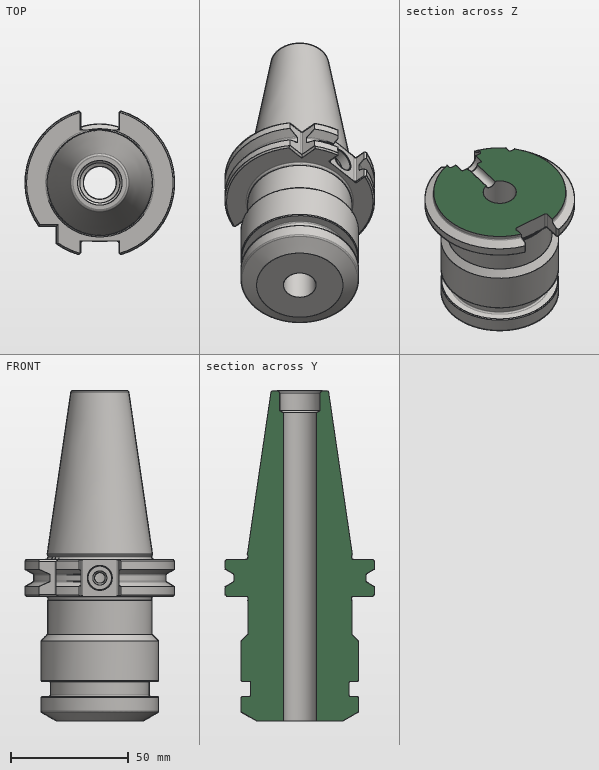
import cadquery as cq
import math


GAUGE_DIA = 44.45
TAPER_RATIO = 7 / 24
TAPER_LENGTH = 68.4
TAPER_TIP_FILLET = 1.0
TAPER_END_Z = -1.0
RELIEF_TOP = -1.9
RELIEF_DIA = 44.15
UPPER_RELIEF_FILLET = 0.9
LOWER_RELIEF_FILLET = 0.7

FLANGE_DIA = 63.55
FLANGE_TOP = -3.2
FLANGE_BOTTOM = -19.0
FLANGE_CHAMFER = 0.7
GROOVE_Z = -11.1
GROOVE_FLOOR_DIA = 56.25
GROOVE_FLOOR_WIDTH = 3.1
GROOVE_FLANK_ANGLE = 30
GROOVE_FILLET = 0.5

OVERALL_LENGTH = 140.25
NECK_DIA = GAUGE_DIA
NECK_TOP = -20.6
SHOULDER_TOP = -35.0
BODY_DIA = 50.0
BODY_BOTTOM = -55.1
BODY_CHAMFER = 0.4
WAIST_DIA = 42.0
WAIST_UPPER_FILLET = 0.4
WAIST_LOWER_FILLET = 0.7
NUT_TOP = -61.4
NUT_CONE_ANGLE = 30
NUT_CONE_TOP = -68.0
NUT_FILLET = 0.8

CUTTER_OVERHANG = 1.0
SLOT_WIDTH = 16.1
SLOT_CORNER_RADIUS = 0.8
SLOT_RIM_CHAMFER = 0.85
SLOT_FACE_CHAMFER = 0.4
FRONT_SLOT_FLOOR_Y = -24.75
BACK_SLOT_FLOOR_Y = 22.5
NOTCH_WALL_X = -18.5
NOTCH_WALL_Y = -18.5
NOTCH_SIZE = 30.0
NOTCH_CHAMFER = 0.85
NOTCH_CORNER_RADIUS = 0.5

BORE_DIA = 13.84
THREAD_RELIEF_DIA = 17.0
THREAD_RELIEF_DEPTH = 8.5
THREAD_SEAT_ANGLE = 30
BORE_ENTRY_CHAMFER = 0.95

PORT_DIA = 10.0
PORT_CHAMFER = 0.3
PORT_DEPTH = 4.5
PORT_SEAT_DIA = 6.0
PORT_HOLE_DIA = 4.5

flange_radius = FLANGE_DIA / 2
nut_face_z = TAPER_LENGTH - OVERALL_LENGTH


def fillet_circle(solid, radius, height, fillet_radius):
    """Round the circular edge that has the given radius and height."""
    tolerance = 1e-4
    edges = [
        edge
        for edge in solid.edges("%CIRCLE").vals()
        if abs(edge.radius() - radius) < tolerance and abs(edge.Center().z - height) < tolerance
    ]
    return solid.newObject(edges).fillet(fillet_radius)


def turned_body():
    """Revolve the complete outer profile from the taper tip down to the nut face."""
    gauge_radius = GAUGE_DIA / 2
    tip_radius = gauge_radius - TAPER_LENGTH * TAPER_RATIO / 2
    neck_radius = NECK_DIA / 2
    relief_radius = RELIEF_DIA / 2
    taper_end_radius = gauge_radius - TAPER_END_Z * TAPER_RATIO / 2
    relief_step = neck_radius - relief_radius
    groove_radius = GROOVE_FLOOR_DIA / 2
    half_floor = GROOVE_FLOOR_WIDTH / 2
    half_mouth = half_floor + (flange_radius - groove_radius) * math.tan(math.radians(GROOVE_FLANK_ANGLE))
    body_radius = BODY_DIA / 2
    waist_radius = WAIST_DIA / 2
    shoulder_bottom = SHOULDER_TOP - (body_radius - neck_radius)
    nut_cone_drop = NUT_CONE_TOP - nut_face_z
    nut_face_radius = body_radius - nut_cone_drop / math.tan(math.radians(NUT_CONE_ANGLE))

    profile = (
        cq.Workplane("XZ")
        .moveTo(0, TAPER_LENGTH)
        .lineTo(tip_radius, TAPER_LENGTH)
        .lineTo(taper_end_radius, TAPER_END_Z)
        .lineTo(relief_radius, RELIEF_TOP)
        .lineTo(relief_radius, FLANGE_TOP)
        .lineTo(flange_radius - FLANGE_CHAMFER, FLANGE_TOP)
        .lineTo(flange_radius, FLANGE_TOP - FLANGE_CHAMFER)
        .lineTo(flange_radius, GROOVE_Z + half_mouth)
        .lineTo(groove_radius, GROOVE_Z + half_floor)
        .lineTo(groove_radius, GROOVE_Z - half_floor)
        .lineTo(flange_radius, GROOVE_Z - half_mouth)
        .lineTo(flange_radius, FLANGE_BOTTOM + FLANGE_CHAMFER)
        .lineTo(flange_radius - FLANGE_CHAMFER, FLANGE_BOTTOM)
        .lineTo(relief_radius, FLANGE_BOTTOM)
        .lineTo(relief_radius, NECK_TOP + relief_step)
        .lineTo(neck_radius, NECK_TOP)
        .lineTo(neck_radius, SHOULDER_TOP)
        .lineTo(body_radius, shoulder_bottom)
        .lineTo(body_radius, BODY_BOTTOM + BODY_CHAMFER)
        .lineTo(body_radius - BODY_CHAMFER, BODY_BOTTOM)
        .lineTo(waist_radius, BODY_BOTTOM)
        .lineTo(waist_radius, NUT_TOP)
        .lineTo(body_radius - BODY_CHAMFER, NUT_TOP)
        .lineTo(body_radius, NUT_TOP - BODY_CHAMFER)
        .lineTo(body_radius, NUT_CONE_TOP)
        .lineTo(nut_face_radius, nut_face_z)
        .lineTo(0, nut_face_z)
        .close()
    )
    turned = profile.revolve(360, (0, 0, 0), (0, 1, 0))
    fillets = [
        (tip_radius, TAPER_LENGTH, TAPER_TIP_FILLET),
        (relief_radius, FLANGE_TOP, UPPER_RELIEF_FILLET),
        (relief_radius, FLANGE_BOTTOM, LOWER_RELIEF_FILLET),
        (groove_radius, GROOVE_Z + half_floor, GROOVE_FILLET),
        (groove_radius, GROOVE_Z - half_floor, GROOVE_FILLET),
        (waist_radius, BODY_BOTTOM, WAIST_UPPER_FILLET),
        (waist_radius, NUT_TOP, WAIST_LOWER_FILLET),
        (body_radius, NUT_CONE_TOP, NUT_FILLET),
    ]
    for radius, height, fillet in fillets:
        turned = fillet_circle(turned, radius, height, fillet)
    return turned


def drive_slot(floor_y):
    """Cutter for one drive slot: rounded floor corners, chamfered rim and face edges."""
    side = math.copysign(1, floor_y)
    half_width = SLOT_WIDTH / 2
    chamfered_half_width = half_width + SLOT_RIM_CHAMFER
    rim_y = side * math.sqrt(flange_radius**2 - chamfered_half_width**2)
    outer_y = side * (flange_radius + CUTTER_OVERHANG)
    chamfer_start_y = rim_y - side * SLOT_RIM_CHAMFER
    height = FLANGE_TOP - FLANGE_BOTTOM
    slot = (
        cq.Workplane("XY", origin=(0, 0, FLANGE_BOTTOM))
        .moveTo(-half_width, floor_y)
        .lineTo(half_width, floor_y)
        .lineTo(half_width, chamfer_start_y)
        .lineTo(chamfered_half_width, rim_y)
        .lineTo(chamfered_half_width, outer_y)
        .lineTo(-chamfered_half_width, outer_y)
        .lineTo(-chamfered_half_width, rim_y)
        .lineTo(-half_width, chamfer_start_y)
        .close()
        .extrude(height)
    )
    floor_face = slot.faces("<Y" if side > 0 else ">Y")
    slot = floor_face.edges("|Z").fillet(SLOT_CORNER_RADIUS)
    for face_z, inward in ((FLANGE_TOP, -1), (FLANGE_BOTTOM, 1)):
        flare = (
            cq.Workplane("XZ", origin=(0, outer_y, 0))
            .moveTo(-half_width - SLOT_FACE_CHAMFER, face_z)
            .lineTo(half_width + SLOT_FACE_CHAMFER, face_z)
            .lineTo(half_width, face_z + inward * SLOT_FACE_CHAMFER)
            .lineTo(-half_width, face_z + inward * SLOT_FACE_CHAMFER)
            .close()
            .extrude(outer_y - floor_y)
        )
        slot = slot.union(flare)
    return slot


def orientation_notch():
    """Cutter for the square notch at the -X -Y rim, with chamfered upper and lower edges."""
    size = NOTCH_SIZE
    flared_size = size + 2 * NOTCH_CHAMFER
    center = (NOTCH_WALL_X - size / 2, NOTCH_WALL_Y - size / 2)
    height = FLANGE_TOP - FLANGE_BOTTOM
    notch = cq.Workplane("XY", origin=(*center, FLANGE_BOTTOM)).rect(size, size).extrude(height)
    notch = notch.edges("|Z and >X and >Y").fillet(NOTCH_CORNER_RADIUS)
    upper_flare = (
        cq.Workplane("XY", origin=(*center, FLANGE_TOP - NOTCH_CHAMFER))
        .rect(size, size)
        .workplane(offset=NOTCH_CHAMFER)
        .rect(flared_size, flared_size)
        .loft(ruled=True)
    )
    lower_flare = (
        cq.Workplane("XY", origin=(*center, FLANGE_BOTTOM))
        .rect(flared_size, flared_size)
        .workplane(offset=NOTCH_CHAMFER)
        .rect(size, size)
        .loft(ruled=True)
    )
    return notch.union(upper_flare).union(lower_flare)


def drawbar_bore():
    """Through bore with the wider thread relief and entry chamfer at the taper tip."""
    radius = BORE_DIA / 2
    relief = THREAD_RELIEF_DIA / 2
    relief_bottom = TAPER_LENGTH - THREAD_RELIEF_DEPTH
    profile = (
        cq.Workplane("XZ")
        .moveTo(0, TAPER_LENGTH)
        .lineTo(relief + BORE_ENTRY_CHAMFER, TAPER_LENGTH)
        .lineTo(relief, TAPER_LENGTH - BORE_ENTRY_CHAMFER)
        .lineTo(relief, relief_bottom)
        .lineTo(radius, relief_bottom - (relief - radius) * math.tan(math.radians(THREAD_SEAT_ANGLE)))
        .lineTo(radius, nut_face_z)
        .lineTo(0, nut_face_z)
        .close()
    )
    return profile.revolve(360, (0, 0, 0), (0, 1, 0))


def coolant_port():
    """Stepped radial hole from the front slot floor into the drawbar bore."""
    port = PORT_DIA / 2
    seat = PORT_SEAT_DIA / 2
    hole = PORT_HOLE_DIA / 2
    seat_y = FRONT_SLOT_FLOOR_Y + PORT_DEPTH
    profile = (
        cq.Workplane("XY", origin=(0, 0, GROOVE_Z))
        .moveTo(0, FRONT_SLOT_FLOOR_Y)
        .lineTo(port + PORT_CHAMFER, FRONT_SLOT_FLOOR_Y)
        .lineTo(port, FRONT_SLOT_FLOOR_Y + PORT_CHAMFER)
        .lineTo(port, seat_y)
        .lineTo(seat, seat_y)
        .lineTo(hole, seat_y + seat - hole)
        .lineTo(hole, 0)
        .lineTo(0, 0)
        .close()
    )
    return profile.revolve(360, (0, 0, 0), (0, 1, 0))


result = (
    turned_body()
    .cut(drive_slot(FRONT_SLOT_FLOOR_Y))
    .cut(drive_slot(BACK_SLOT_FLOOR_Y))
    .cut(orientation_notch())
    .cut(drawbar_bore())
    .cut(coolant_port())
)